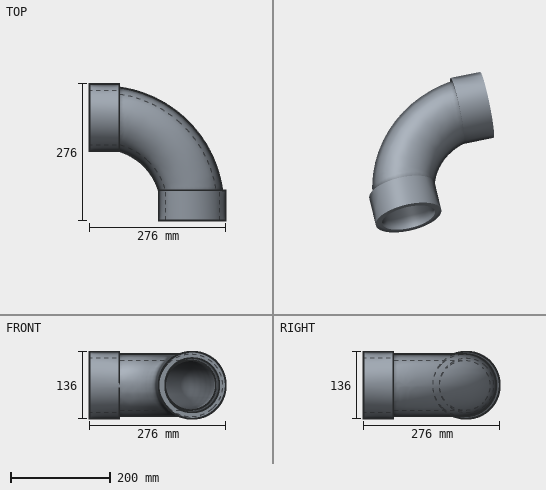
import cadquery as cq

overall_length = 276.0
socket_diameter = 136.0
socket_bore = 110.0
bend_diameter = 126.5
bend_bore = 100.5

socket_length = 61.0
bend_start = 27.5

axis_offset = overall_length - socket_diameter / 2
bend_radius = axis_offset - bend_start


def along_x(diameter, length):
    """Cylinder entering the fitting from the open end at X = 0."""
    return cq.Workplane("YZ").center(axis_offset, 0).circle(diameter / 2).extrude(length)


def along_y(diameter, length):
    """Cylinder entering the fitting from the open end at Y = 0."""
    return cq.Workplane("XZ").center(axis_offset, 0).circle(diameter / 2).extrude(-length)


def quarter_bend(diameter):
    """Quarter torus of circular section joining the two pipe axes."""
    return (
        cq.Workplane("XZ", origin=(bend_start, bend_start, 0))
        .center(bend_radius, 0)
        .circle(diameter / 2)
        .revolve(90, (-bend_radius, 0, 0), (-bend_radius, 1, 0))
    )


def both_ends(diameter, length):
    """Equal cylinders at the two open ends."""
    return along_x(diameter, length).union(along_y(diameter, length))


body = quarter_bend(bend_diameter).union(both_ends(socket_diameter, socket_length))

result = body.cut(quarter_bend(bend_bore)).cut(both_ends(socket_bore, socket_length))